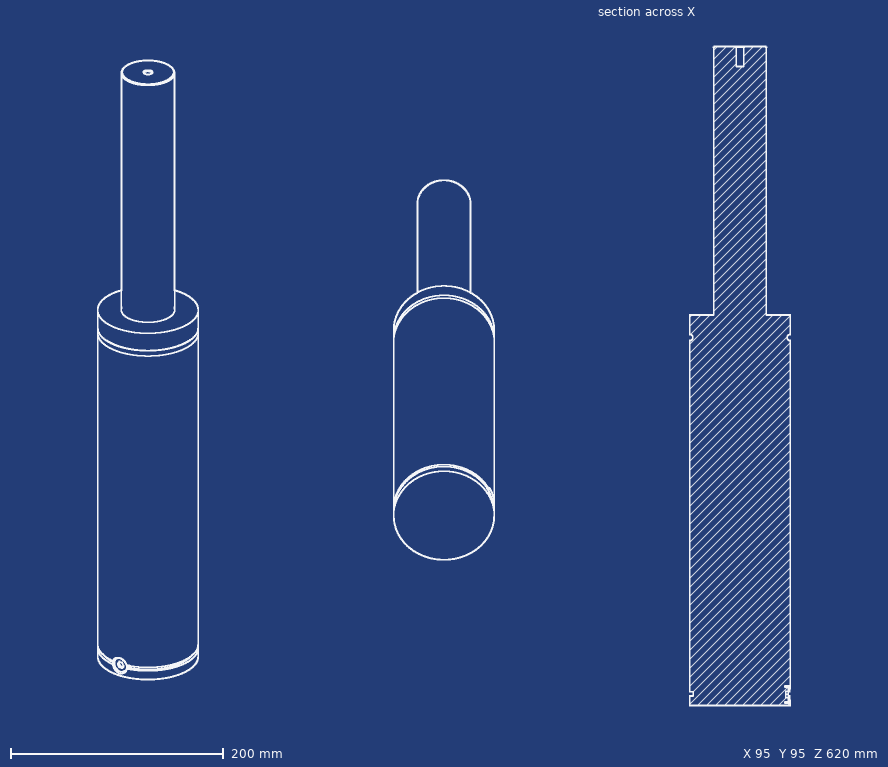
import cadquery as cq

total_height = 620.0
body_height = 367.5
body_diameter = 95.0
rod_diameter = 50.0
rod_chamfer = 0.9

head_groove_bottom = 343.5
head_groove_top = 349.0
head_groove_depth = (head_groove_top - head_groove_bottom) / 2

base_groove_bottom = 9.0
base_groove_top = 13.0
base_groove_depth = 3.0

rod_hole_diameter = 7.0
rod_hole_mouth_diameter = 8.5
rod_hole_depth = 18.5

port_height = 10.5
port_diameter = 16.0
port_depth = 5.0
plug_diameter = 14.0
plug_recess = 2.0
socket_corner_diameter = 7.0
socket_depth = 4.5

body_radius = body_diameter / 2


def make_body():
    """Revolve the cylinder body with its two grooves."""
    head_groove_middle = (head_groove_bottom + head_groove_top) / 2
    base_groove_radius = body_radius - base_groove_depth
    return (
        cq.Workplane("XZ")
        .lineTo(body_radius, 0)
        .lineTo(body_radius, base_groove_bottom)
        .lineTo(base_groove_radius, base_groove_bottom)
        .lineTo(base_groove_radius, base_groove_top)
        .lineTo(body_radius, base_groove_top)
        .lineTo(body_radius, head_groove_bottom)
        .threePointArc(
            (body_radius - head_groove_depth, head_groove_middle),
            (body_radius, head_groove_top),
        )
        .lineTo(body_radius, body_height)
        .lineTo(0, body_height)
        .close()
        .revolve(360, (0, 0, 0), (0, 1, 0))
    )


def make_rod():
    """Make the piston rod with a chamfered end and a countersunk hole."""
    mouth_chamfer = (rod_hole_mouth_diameter - rod_hole_diameter) / 2
    return (
        cq.Workplane("XY", origin=(0, 0, body_height))
        .circle(rod_diameter / 2)
        .extrude(total_height - body_height)
        .faces(">Z")
        .chamfer(rod_chamfer)
        .faces(">Z")
        .workplane()
        .hole(rod_hole_diameter, rod_hole_depth)
        .faces(">Z")
        .edges(cq.selectors.RadiusNthSelector(0))
        .chamfer(mouth_chamfer)
    )


def port_sketch(depth):
    """Work plane on the port axis, at a depth below the body surface, facing out."""
    return cq.Workplane("XZ", origin=(0, depth - body_radius, port_height))


def cut_port(part):
    """Cut the port and leave a recessed plug with a blind hexagon socket in it."""
    port = port_sketch(port_depth).circle(port_diameter / 2).extrude(port_depth)
    plug = port_sketch(port_depth).circle(plug_diameter / 2).extrude(port_depth - plug_recess)
    socket = port_sketch(socket_depth).polygon(6, socket_corner_diameter).extrude(socket_depth)
    return part.cut(port).union(plug).cut(socket)


result = cut_port(make_body().union(make_rod()))